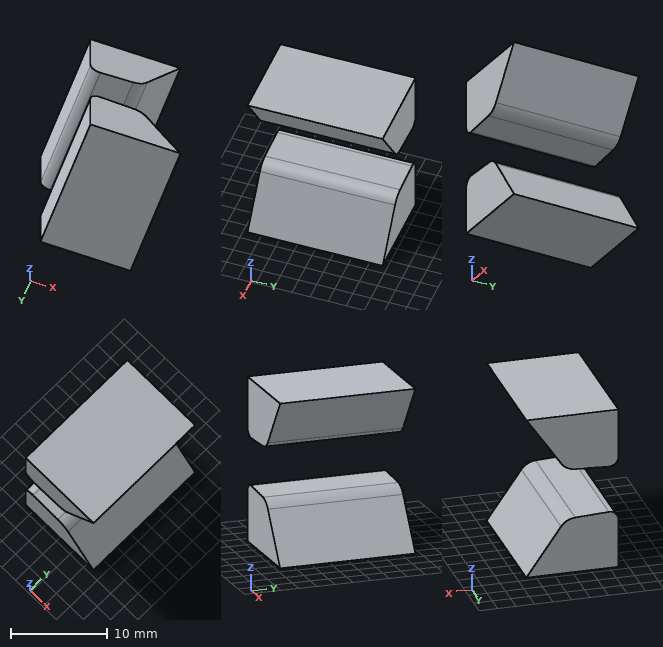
import cadquery as cq
import math

jaw_width = 10.0
jaw_length = 15.0
total_height = 18.0

back_height = 6.48
crown_slope = 3.0
flank_angle = 55.0
back_radius = 1.0
flank_radius = 2.0

crown_fall = math.tan(math.radians(crown_slope))
flank_fall = math.tan(math.radians(flank_angle))
corner_x = (jaw_width * flank_fall - back_height) / (flank_fall - crown_fall)
corner_height = back_height - corner_x * crown_fall


def make_lower_jaw():
    """Prism along Y with its base at Z = 0 and its back face at X = 0."""
    jaw = (
        cq.Workplane("XZ")
        .polyline([(0, 0), (jaw_width, 0), (corner_x, corner_height), (0, back_height)])
        .close()
        .extrude(-jaw_length)
    )
    back_edge = cq.NearestToPointSelector((0, jaw_length / 2, back_height))
    flank_edge = cq.NearestToPointSelector((corner_x, jaw_length / 2, corner_height))
    jaw = jaw.edges("|Y").edges(flank_edge).fillet(flank_radius)
    return jaw.edges("|Y").edges(back_edge).fillet(back_radius)


def make_upper_jaw():
    """Mirror image of the lower jaw about the middle height."""
    return make_lower_jaw().mirror("XY", (0, 0, total_height / 2))


lower_jaw = make_lower_jaw()
upper_jaw = make_upper_jaw()

result = cq.Compound.makeCompound([lower_jaw.val(), upper_jaw.val()])